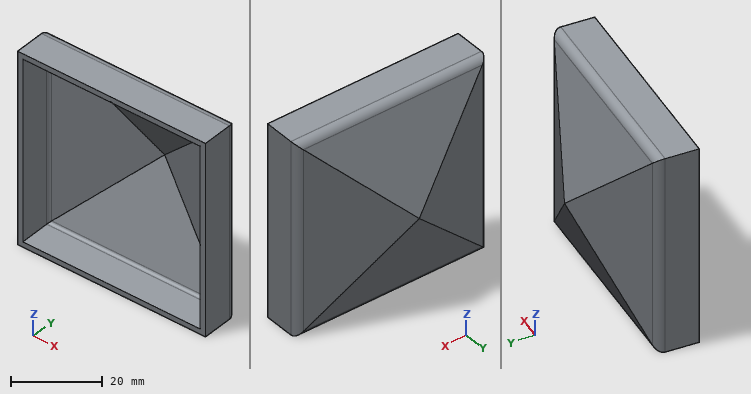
import cadquery as cq
import math

side = 53.0
height = 20.0
wall = 1.5
eaves_height = height / 2
eaves_radius = 2.5

roof_angle = math.atan((height - eaves_height) / (side / 2))
cavity_apex_height = height - wall / math.cos(roof_angle)


def gable_prism(plane, width, apex_height, radius):
    """Gable outline with rounded eaves, extruded over the full width across the given plane."""
    half = width / 2
    foot_height = apex_height - half * math.tan(roof_angle)
    arc_centre_x = half - radius
    arc_sweep = math.pi / 2 - roof_angle
    arc_start_y = foot_height - radius * math.tan(arc_sweep / 2)

    def arc_point(angle):
        return arc_centre_x + radius * math.cos(angle), arc_start_y + radius * math.sin(angle)

    def mirrored(point):
        return -point[0], point[1]

    arc_middle = arc_point(arc_sweep / 2)
    arc_end = arc_point(arc_sweep)
    return (
        cq.Workplane(plane)
        .moveTo(-half, 0)
        .lineTo(half, 0)
        .lineTo(half, arc_start_y)
        .threePointArc(arc_middle, arc_end)
        .lineTo(0, apex_height)
        .lineTo(*mirrored(arc_end))
        .threePointArc(mirrored(arc_middle), (-half, arc_start_y))
        .close()
        .extrude(half, both=True)
    )


def pyramid_block(width, apex_height, radius):
    """Square block with a pyramid roof; the rounded eaves meet in mitred corners."""
    across_z_plane = cq.Plane(origin=(0, 0, 0), xDir=(0, 0, 1), normal=(-1, 0, 0))
    gable_across_x = gable_prism("XY", width, apex_height, radius)
    gable_across_z = gable_prism(across_z_plane, width, apex_height, radius)
    return gable_across_x.intersect(gable_across_z)


outer = pyramid_block(side, height, eaves_radius)
cavity = pyramid_block(side - 2 * wall, cavity_apex_height, eaves_radius - wall)

result = outer.cut(cavity)